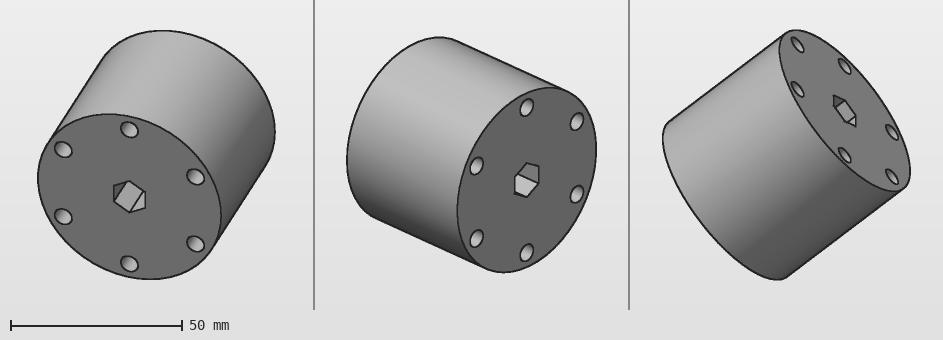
import cadquery as cq
import math

body_diameter = 57
body_length = 46.0
bolt_hole_diameter = 5.35
bolt_circle_diameter = 47.5
bolt_hole_count = 6
hex_across_flats = 9.7

hex_across_corners = hex_across_flats / math.cos(math.pi / 6)


def end_face_plane():
    """Work plane through the rear end, facing -Y, so extrusions run along the axis."""
    return cq.Workplane("XZ", origin=(0, body_length / 2, 0))


def make_body():
    return end_face_plane().circle(body_diameter / 2).extrude(body_length)


def make_bolt_holes():
    """Through holes evenly spaced on the bolt circle, with the first at the top."""
    return (
        end_face_plane()
        .polarArray(bolt_circle_diameter / 2, 90, 360, bolt_hole_count)
        .circle(bolt_hole_diameter / 2)
        .extrude(body_length)
    )


def make_hex_bore():
    """Central through bore with two opposite hexagon corners on the Z direction."""
    return (
        end_face_plane()
        .transformed(rotate=(0, 0, 90))
        .polygon(6, hex_across_corners)
        .extrude(body_length)
    )


result = make_body().cut(make_bolt_holes()).cut(make_hex_bore())